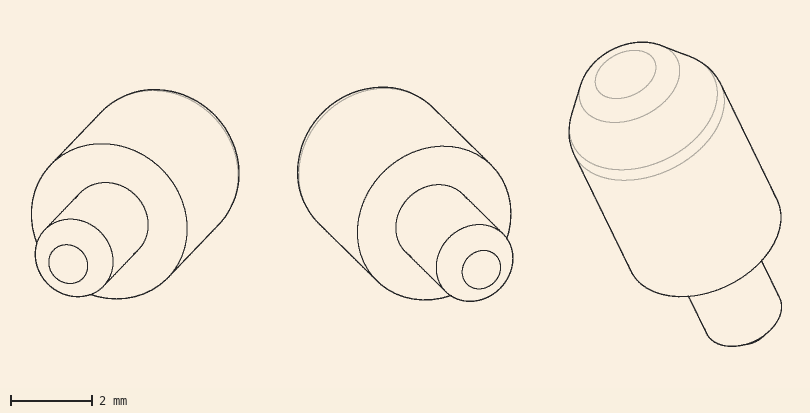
import cadquery as cq
import math

total_length = 9.5
pin_length = 3.5
head_length = total_length - pin_length
head_diameter = 4.0
head_radius = head_diameter / 2
pin_radius = head_radius / 2
pin_chamfer = pin_radius / 2

nose_length = 1.5
nose_angle = 30.0
nose_blend_radius = 0.6
nose_tip_radius = head_radius - nose_length * math.tan(math.radians(nose_angle))


def make_head():
    """Cylindrical head with a conical nose, rounded at both ends of the cone."""
    head = (
        cq.Workplane("XY")
        .lineTo(head_radius, 0)
        .lineTo(head_radius, head_length - nose_length)
        .lineTo(nose_tip_radius, head_length)
        .lineTo(0, head_length)
        .close()
        .revolve(360, (0, 0), (0, 1))
    )
    nose_edges = head.edges("%CIRCLE").edges("not <Y")
    return nose_edges.fillet(nose_blend_radius)


def make_pin():
    """Cylindrical pin seated on the shoulder, with a chamfered free end."""
    pin = cq.Workplane("XZ").circle(pin_radius).extrude(pin_length)
    return pin.faces("<Y").edges().chamfer(pin_chamfer)


head = make_head()
pin = make_pin()

result = cq.Compound.makeCompound([head.solids().val(), pin.solids().val()])